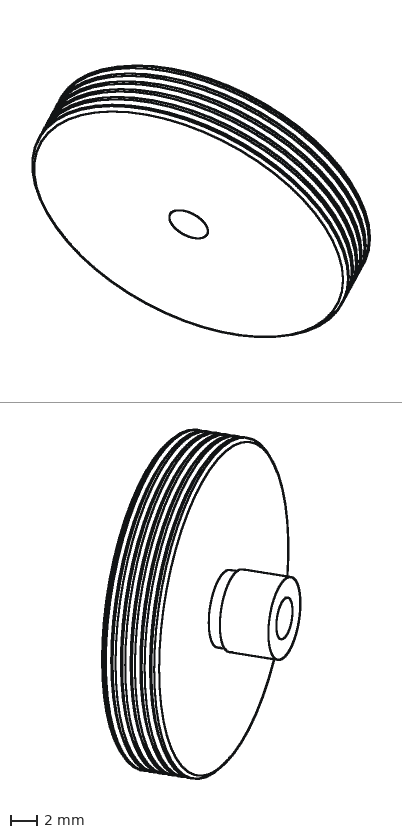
import cadquery as cq

disc_diameter = 26.3
disc_thickness = 4.7
rim_chamfer = 0.3

groove_count = 5
groove_width = 0.55
groove_depth = 0.4
crest_width = 0.247
groove_pitch = groove_width + crest_width

total_length = 9.7
neck_diameter = 6.0
neck_length = 1.0
collar_diameter = 6.4
collar_length = total_length - disc_thickness - neck_length

bore_diameter = 3.2

disc_radius = disc_diameter / 2


def cylinder(diameter, start_y, length):
    """Solid cylinder around the Y axis, running toward +Y from start_y."""
    plane = cq.Plane(origin=(0, start_y, 0), xDir=(1, 0, 0), normal=(0, 1, 0))
    return cq.Workplane(plane).circle(diameter / 2).extrude(length)


def v_groove(center_y):
    """Ring with a triangular section, its point toward the axis."""
    clearance_factor = 1.5
    root_radius = disc_radius - groove_depth
    outer_radius = root_radius + groove_depth * clearance_factor
    half_width = groove_width / 2 * clearance_factor
    return (
        cq.Workplane("XY")
        .moveTo(root_radius, center_y)
        .lineTo(outer_radius, center_y + half_width)
        .lineTo(outer_radius, center_y - half_width)
        .close()
        .revolve(360, (0, 0, 0), (0, 1, 0))
    )


disc = cylinder(disc_diameter, 0, disc_thickness).edges().chamfer(rim_chamfer)

for index in range(groove_count):
    disc = disc.cut(v_groove(disc_thickness - (index + 1) * groove_pitch))

neck = cylinder(neck_diameter, disc_thickness, neck_length)
collar = cylinder(collar_diameter, disc_thickness + neck_length, collar_length)

bore = cylinder(bore_diameter, 0, total_length)

result = disc.union(neck).union(collar).cut(bore)